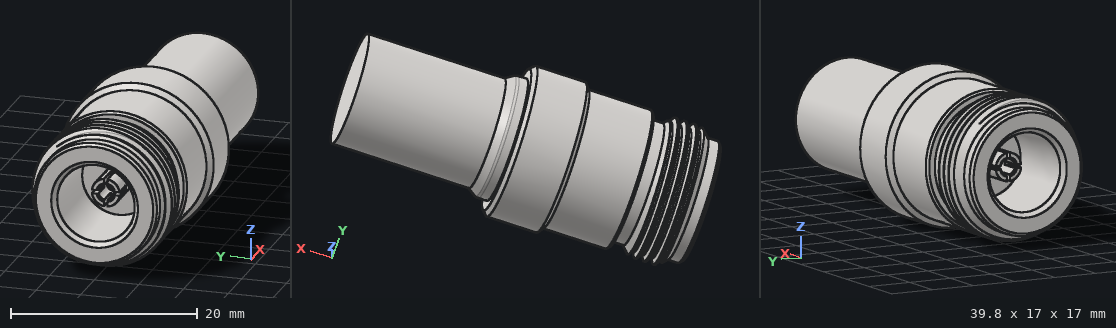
import cadquery as cq
import math

LENGTH = 39.82

COLLAR_DIAMETER = 17.0
COLLAR_R = COLLAR_DIAMETER / 2
BODY_R = 7.85
NECK_R = 6.9
TUBE_R = 6.2

THREAD_START = 1.5
THREAD_END = 6.55
BODY_START = 7.95
COLLAR_START = 15.37
COLLAR_END = 22.02
SHOULDER_ROUND_START = 23.0
SHOULDER_CONE_START = 23.35
TUBE_START = 24.3

FACE_CHAMFER = 0.3
BODY_CHAMFER = 0.28
COLLAR_CHAMFER = 0.5
SHOULDER_ROUND_DROP = 0.08

GROOVE_START = 1.35
GROOVE_LENGTH = 5.3
THREAD_TURNS = 5
PITCH = GROOVE_LENGTH / THREAD_TURNS
THREAD_CREST_R = BODY_R
FLANK_ANGLE = 30
FLANK_SLOPE = math.tan(math.radians(FLANK_ANGLE))
ROOT_FLAT = PITCH / 4
CREST_FLAT = PITCH / 8
THREAD_DEPTH = (PITCH - ROOT_FLAT - CREST_FLAT) / 2 / FLANK_SLOPE
CUT_CLEARANCE = 0.05

BORE_MOUTH_R = 4.85
BORE_R = 4.35
BORE_FLOOR_R = 4.05
BORE_CHAMFER = 0.5
BORE_DEPTH = 8.75

PIN_R = 1.55
PIN_TIP = 4.1
PIN_HOLE_R = 0.88
PIN_HOLE_MOUTH_R = 1.05
PIN_HOLE_DEPTH = 3.2
DRILL_POINT_ANGLE = 118
SLOT_WIDTH = 0.4
SLOT_DEPTH = 2.4
PIN_ROOT_OVERLAP = 0.4


def revolve_about_x(profile):
    """Close an XY profile (x = axial, y = radius) and turn it around the X axis."""
    return profile.close().revolve(360, (0, 0, 0), (1, 0, 0))


def outer_body():
    thread_rise = THREAD_CREST_R - NECK_R
    profile = (
        cq.Workplane("XY")
        .lineTo(0, NECK_R - FACE_CHAMFER)
        .lineTo(FACE_CHAMFER, NECK_R)
        .lineTo(THREAD_START, NECK_R)
        .lineTo(THREAD_START + thread_rise, THREAD_CREST_R)
        .lineTo(THREAD_END - thread_rise, THREAD_CREST_R)
        .lineTo(THREAD_END, NECK_R)
        .lineTo(BODY_START, NECK_R)
        .lineTo(BODY_START, BODY_R - BODY_CHAMFER)
        .lineTo(BODY_START + BODY_CHAMFER, BODY_R)
        .lineTo(COLLAR_START, BODY_R)
        .lineTo(COLLAR_START + COLLAR_CHAMFER, COLLAR_R)
        .lineTo(COLLAR_END - COLLAR_CHAMFER, COLLAR_R)
        .lineTo(COLLAR_END, COLLAR_R - COLLAR_CHAMFER)
        .lineTo(COLLAR_END, NECK_R)
        .lineTo(SHOULDER_ROUND_START, NECK_R)
        .tangentArcPoint((SHOULDER_CONE_START, NECK_R - SHOULDER_ROUND_DROP), relative=False)
        .lineTo(TUBE_START, TUBE_R)
        .lineTo(LENGTH, TUBE_R)
        .lineTo(LENGTH, 0)
    )
    return revolve_about_x(profile)


def groove_turn():
    """One right-hand turn of the thread groove, beginning at GROOVE_START."""
    root_r = THREAD_CREST_R - THREAD_DEPTH
    outer_r = THREAD_CREST_R + CUT_CLEARANCE
    root_half = ROOT_FLAT / 2
    outer_half = root_half + (outer_r - root_r) * FLANK_SLOPE
    helix = cq.Wire.makeHelix(PITCH, PITCH, root_r)
    groove = (
        cq.Workplane("XZ")
        .moveTo(root_r, -root_half)
        .lineTo(outer_r, -outer_half)
        .lineTo(outer_r, outer_half)
        .lineTo(root_r, root_half)
        .close()
        .sweep(cq.Workplane(obj=helix), isFrenet=True)
    )
    return groove.rotate((0, 0, 0), (0, 1, 0), 90).translate((GROOVE_START, 0, 0))


def cut_thread(body):
    """Cut the groove turn by turn; it runs out through the cones at both thread ends."""
    turn = groove_turn()
    for index in range(THREAD_TURNS):
        body = body.cut(turn.translate((index * PITCH, 0, 0)))
    return body


def mating_bore():
    profile = (
        cq.Workplane("XY")
        .lineTo(0, BORE_MOUTH_R)
        .lineTo(BORE_CHAMFER, BORE_R)
        .lineTo(BORE_DEPTH, BORE_FLOOR_R)
        .lineTo(BORE_DEPTH, 0)
    )
    return revolve_about_x(profile)


def centre_contact():
    """Pin with a countersunk drilled socket and a cross slot in its tip."""
    tip_plane = cq.Workplane("YZ", origin=(PIN_TIP, 0, 0))
    pin = tip_plane.circle(PIN_R).extrude(BORE_DEPTH + PIN_ROOT_OVERLAP - PIN_TIP)
    countersink = PIN_HOLE_MOUTH_R - PIN_HOLE_R
    hole_end = PIN_TIP + PIN_HOLE_DEPTH
    point_length = PIN_HOLE_R / math.tan(math.radians(DRILL_POINT_ANGLE / 2))
    socket = revolve_about_x(
        cq.Workplane("XY")
        .moveTo(PIN_TIP, 0)
        .lineTo(PIN_TIP, PIN_HOLE_MOUTH_R)
        .lineTo(PIN_TIP + countersink, PIN_HOLE_R)
        .lineTo(hole_end, PIN_HOLE_R)
        .lineTo(hole_end + point_length, 0)
    )
    pin = pin.cut(socket)
    for width, height in ((2 * PIN_R, SLOT_WIDTH), (SLOT_WIDTH, 2 * PIN_R)):
        pin = pin.cut(tip_plane.rect(width, height).extrude(SLOT_DEPTH))
    return pin


result = cut_thread(outer_body().cut(mating_bore()).union(centre_contact()))